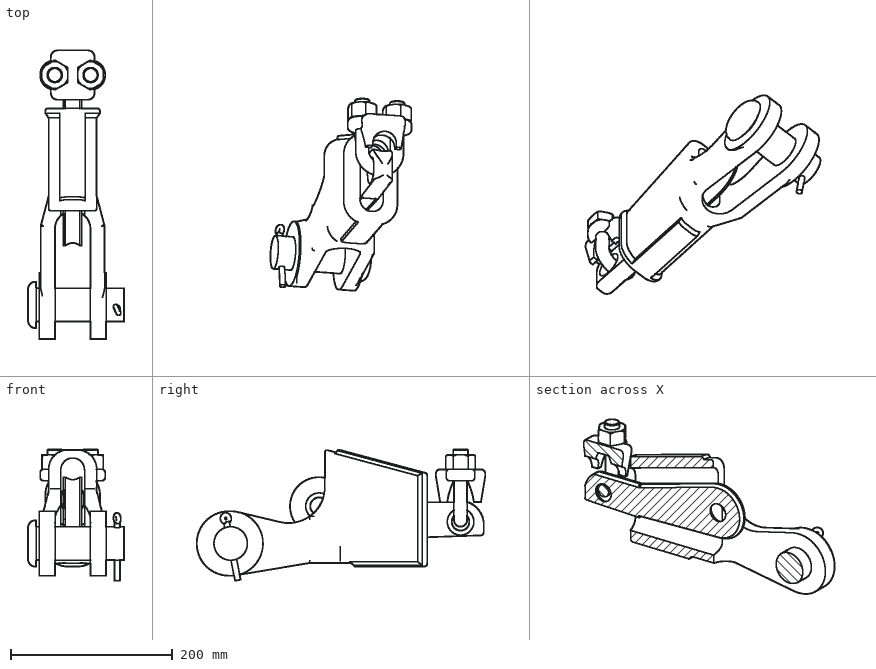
import cadquery as cq
import math


BODY_HALF_WIDTH = 29.5
BODY_CORNER = 23.0
BODY_BOTTOM = -24.3
BODY_FRONT = 116.5
BODY_REAR = 243.2
BODY_TOP_FRONT = 116.5
ROOF_SLOPE = math.tan(math.radians(15))
RAISE = 4.3
COLLAR_LENGTH = 11.8
COLLAR_ROUND = 4.0
COLLAR_FLARE = 5.7
RIB_HALF_WIDTH = 15.7
TOP_RIB_FRONT = 133.5
BOTTOM_RIB_FRONT = 153.5
EDGE_ROUND = 3.0

CAVITY_HALF_WIDTH = 14.5
CAVITY_WALL = 10.7

FORK_HALF_WIDTH = 39.5
FORK_GAP_HALF = 21.8
FORK_GAP_END = 94.3
FLARE_FRONT = 97.5
FLARE_REAR = 135.5
CONE_AXIS_Y = 94.5
THROAT_RADIUS = 44.5
THROAT_Y = BODY_FRONT - THROAT_RADIUS
THROAT_Z = 70.0
FLARE_SPLIT = THROAT_Z - math.sqrt(THROAT_RADIUS**2 - (FLARE_FRONT - THROAT_Y) ** 2)
EYE_RADIUS = 40.0
EYE_HALF_WIDTH = 41.5
EYE_STRETCH = 2.0

PIN_RADIUS = 20.7
PIN_END = 63.5
HEAD_FACE = -55.5
HEAD_BACK = -45.5
HEAD_RADIUS = 29.0
HEAD_ROUND = 9.5
NECK_ROUND = 1.5
COTTER_X = 55.0
COTTER_RADIUS = 3.5
COTTER_BOTTOM = -46.5
COTTER_TILT = 11
COTTER_RING_HEIGHT = 31.5
COTTER_RING_RADIUS = 4.3
COTTER_WIRE = 3.0
COTTER_TWIST = 25

WEDGE_HALF_WIDTH = 11.5
NOSE_Y = 109.3
NOSE_Z = 46.0
NOSE_RADIUS = 36.0
TAIL_TOP = 51.0
TAIL_START_Y = 230.0
TAIL_START_BOTTOM = 7.0
TAIL_END = 313.2
TAIL_END_BOTTOM = 10.0
TAIL_ROUND_START = 294.0
TAIL_ROUND_MIDDLE = (308.0, 40.0)
TAIL_ROUND_END = 25.0
TAIL_CORNER = 4.3
TAIL_SIDE_ROUND = 10.7
GROOVE_HALF_WIDTH = 9.0
GROOVE_DEPTH = 3.2
HOLE_THROAT = 10.7
HOLE_MOUTH = 16.5
TAIL_HOLE_Z = 26.8

CLIP_Y = 284.3
BOLT_X = 22.0
BOLT_RADIUS = 8.2
BEND_Z = 51.0
BOLT_TOP = 116.5
THREAD_RADIUS = 9.3
THREAD_CHAMFER = 1.0
NUT_CORNERS = 36.8
NUT_TOP = 109.5
NUT_CHAMFER = 1.8
SADDLE_TOP = 91.8
SADDLE_PLATE_BOTTOM = 78.5
SADDLE_HALF_X = 27.0
SADDLE_HALF_Y = 30.7
SADDLE_CORNER = 8.5
SADDLE_TOP_ROUND = 5.7
LEG_BOTTOM = 51.0
LEG_TAPER_TOP = 83.5
LEG_OUTER = 25.5
LEG_INNER = 16.5
LEG_ARCH_MIDDLE = (14.0, 63.0)
LEG_ROOT = 8.0
ROPE_ARCH_RADIUS = 15.0
ROPE_ARCH_TOP = 69.5
SEAT_RADIUS = 18.2
SEAT_BOTTOM = 77.5
SEAT_ROUND = 4.3

FAR = 214.3


def side_plane(x=0.0):
    return cq.Workplane("YZ", origin=(x, 0, 0))


def box_between(x0, x1, y0, y1, z0, z1):
    return cq.Workplane("XY").box(x1 - x0, y1 - y0, z1 - z0, False).translate((x0, y0, z0))


def on_circle(center, radius, angle):
    return (center[0] + radius * math.cos(angle), center[1] + radius * math.sin(angle))


def touch_angle(point, distance, side):
    """Normal angle of the line at which `point`, seen from the origin, has a height of `distance`."""
    return math.atan2(point[1], point[0]) + side * math.acos(distance / math.hypot(*point))


def roof(y):
    return BODY_TOP_FRONT - ROOF_SLOPE * (y - BODY_FRONT)


def tapered_block(y0, y1, half_width, bottom, drop, corner):
    """Block along Y with a sloping roof `drop` below the body roof and rounded long edges."""
    outline = [(y0, bottom), (y1, bottom), (y1, roof(y1) - drop), (y0, roof(y0) - drop)]
    block = side_plane().polyline(outline).close().extrude(half_width, both=True)
    long_edges = block.faces("<Z or >Z").edges("not |X")
    return long_edges.fillet(corner)


def raised_block(y0, y1):
    return tapered_block(
        y0, y1, BODY_HALF_WIDTH + RAISE, BODY_BOTTOM - RAISE, -RAISE, BODY_CORNER + RAISE
    )


def socket_side_prism():
    """Side outline of the socket: body, hollow throat, fork and round eye."""
    eye = (0.0, 0.0)
    throat = (THROAT_Y, THROAT_Z)
    lower_corner = (FLARE_FRONT, BODY_BOTTOM)
    upper = touch_angle(throat, EYE_RADIUS + THROAT_RADIUS, 1)
    lower = touch_angle(lower_corner, EYE_RADIUS, -1)
    return (
        side_plane()
        .moveTo(BODY_REAR, BODY_BOTTOM)
        .lineTo(*lower_corner)
        .lineTo(*on_circle(eye, EYE_RADIUS, lower))
        .threePointArc((-EYE_RADIUS, 0), on_circle(eye, EYE_RADIUS, upper))
        .lineTo(*on_circle(throat, THROAT_RADIUS, upper + math.pi))
        .threePointArc(
            on_circle(throat, THROAT_RADIUS, (upper + 3 * math.pi) / 2),
            (BODY_FRONT, throat[1]),
        )
        .lineTo(BODY_FRONT, roof(BODY_FRONT))
        .lineTo(BODY_REAR, roof(BODY_REAR))
        .close()
        .extrude(FAR, both=True)
    )


def flare_section(y, half_width, corner):
    diagonal = corner * (1 - math.sqrt(0.5))
    return (
        cq.Workplane("XZ", origin=(0, y, 0))
        .moveTo(-half_width, FLARE_SPLIT)
        .lineTo(-half_width, BODY_BOTTOM + corner)
        .threePointArc(
            (-half_width + diagonal, BODY_BOTTOM + diagonal), (-half_width + corner, BODY_BOTTOM)
        )
        .lineTo(half_width - corner, BODY_BOTTOM)
        .threePointArc(
            (half_width - diagonal, BODY_BOTTOM + diagonal), (half_width, BODY_BOTTOM + corner)
        )
        .lineTo(half_width, FLARE_SPLIT)
        .close()
        .val()
    )


def flare():
    """Widening from the body to the fork: flat sides below, a half cone on each side above."""
    slope = (FORK_HALF_WIDTH - BODY_HALF_WIDTH) / (FLARE_REAR - FLARE_FRONT)
    base_radius = FLARE_REAR - CONE_AXIS_Y
    tip = BODY_HALF_WIDTH + slope * base_radius
    lower = cq.Workplane(cq.Solid.makeLoft([
        flare_section(FLARE_REAR, BODY_HALF_WIDTH, BODY_CORNER),
        flare_section(FLARE_FRONT, FORK_HALF_WIDTH, EDGE_ROUND),
    ], True))
    cone_profile = cq.Workplane("XY").polyline(
        [(0, 0), (tip, 0), (BODY_HALF_WIDTH, base_radius), (0, base_radius)]
    ).close()
    cone = cone_profile.revolve(360, (0, 0), (1, 0)).translate((0, CONE_AXIS_Y, FLARE_SPLIT))
    above = box_between(0, FAR, FLARE_FRONT, FAR, FLARE_SPLIT, FAR)
    upper = cone.intersect(above).intersect(socket_side_prism())
    rim = upper.edges(cq.selectors.BoxSelector(
        (BODY_HALF_WIDTH - EDGE_ROUND, FLARE_FRONT, FLARE_SPLIT),
        (FORK_HALF_WIDTH, BODY_FRONT, THROAT_Z),
    ))
    upper = rim.fillet(EDGE_ROUND)
    return lower.union(upper, clean=False).union(upper.mirror("YZ"), clean=False)


def arms():
    """Fork plates up to the flare, still joined across the gap."""
    plate = box_between(-FORK_HALF_WIDTH, FORK_HALF_WIDTH, -FAR, FLARE_FRONT, -FAR, FAR)
    return (
        plate.intersect(socket_side_prism())
        .faces("<X or >X")
        .edges("not |Z")
        .fillet(EDGE_ROUND)
    )


def eye_bosses():
    return (
        side_plane()
        .center(-EYE_STRETCH / 2, 0)
        .slot2D(EYE_STRETCH + 2 * EYE_RADIUS, 2 * EYE_RADIUS)
        .extrude(EYE_HALF_WIDTH, both=True)
    )


def collar():
    start = BODY_REAR - COLLAR_LENGTH
    block = raised_block(start, BODY_REAR).faces(">Y").edges().fillet(COLLAR_ROUND)
    return block.faces("<Y").edges().chamfer(COLLAR_ROUND, COLLAR_FLARE)


def rib_strip(front, level, up):
    """Region of one rib whose front end slopes at 45 degrees, its outer edge at (front, level)."""
    reach = 2 * BODY_CORNER
    rear = BODY_REAR - COLLAR_LENGTH / 2
    outline = [
        (front - reach, level - up * reach),
        (front + reach, level + up * reach),
        (rear, level + up * reach),
        (rear, level - up * reach),
    ]
    return side_plane().polyline(outline).close().extrude(RIB_HALF_WIDTH, both=True)


def ribs():
    top = rib_strip(TOP_RIB_FRONT, roof(TOP_RIB_FRONT) + RAISE, 1)
    bottom = rib_strip(BOTTOM_RIB_FRONT, BODY_BOTTOM - RAISE, -1)
    raised = raised_block(BODY_FRONT + RAISE, BODY_REAR)
    return raised.intersect(top).union(raised.intersect(bottom))


def cavity_section(y):
    radius = CAVITY_HALF_WIDTH
    floor = BODY_BOTTOM + CAVITY_WALL
    ceiling = roof(y) - CAVITY_WALL
    return (
        cq.Workplane("XZ", origin=(0, y, 0))
        .moveTo(-radius, floor + radius)
        .threePointArc((0, floor), (radius, floor + radius))
        .lineTo(radius, ceiling - radius)
        .threePointArc((0, ceiling), (-radius, ceiling - radius))
        .close()
        .val()
    )


def cavity():
    return cq.Workplane(cq.Solid.makeLoft(
        [cavity_section(FORK_GAP_END), cavity_section(BODY_REAR + RAISE)], True
    ))


def fork_gap():
    slot = box_between(-FORK_GAP_HALF, FORK_GAP_HALF, -FAR, FORK_GAP_END, -FAR, FAR)
    end = (
        cq.Workplane("XY", origin=(0, FORK_GAP_END, -FAR))
        .circle(FORK_GAP_HALF)
        .extrude(2 * FAR)
    )
    return slot.union(end)


def main_body():
    block = tapered_block(BODY_FRONT, BODY_REAR, BODY_HALF_WIDTH, BODY_BOTTOM, 0, BODY_CORNER)
    return block.faces("<Y").edges().fillet(EDGE_ROUND)


def make_socket():
    socket = main_body().union(flare(), clean=False).union(arms(), clean=False)
    for addition in (collar(), ribs(), eye_bosses()):
        socket = socket.union(addition, clean=False)
    pin_hole = side_plane().circle(PIN_RADIUS).extrude(FAR, both=True)
    for opening in (cavity(), fork_gap(), pin_hole):
        socket = socket.cut(opening, clean=False)
    return socket


def make_pin():
    arc_middle = HEAD_ROUND * math.sqrt(0.5)
    neck_middle = NECK_ROUND * (1 - math.sqrt(0.5))
    profile = (
        cq.Workplane("XY")
        .moveTo(HEAD_FACE, 0)
        .lineTo(HEAD_FACE, HEAD_RADIUS - HEAD_ROUND)
        .threePointArc(
            (HEAD_FACE + HEAD_ROUND - arc_middle, HEAD_RADIUS - HEAD_ROUND + arc_middle),
            (HEAD_FACE + HEAD_ROUND, HEAD_RADIUS),
        )
        .lineTo(HEAD_BACK, HEAD_RADIUS)
        .lineTo(HEAD_BACK, PIN_RADIUS + NECK_ROUND)
        .threePointArc(
            (HEAD_BACK + neck_middle, PIN_RADIUS + neck_middle),
            (HEAD_BACK + NECK_ROUND, PIN_RADIUS),
        )
        .lineTo(PIN_END, PIN_RADIUS)
        .lineTo(PIN_END, 0)
        .close()
    )
    return profile.revolve(360, (0, 0), (1, 0)).union(cotter())


def cotter():
    leg = (
        cq.Workplane("XY", origin=(0, 0, COTTER_BOTTOM))
        .circle(COTTER_RADIUS)
        .extrude(COTTER_RING_HEIGHT - COTTER_RING_RADIUS - COTTER_BOTTOM)
    )
    ring = (
        cq.Workplane("YX")
        .center(COTTER_RING_RADIUS, 0)
        .circle(COTTER_WIRE)
        .revolve(360, (-COTTER_RING_RADIUS, 0), (-COTTER_RING_RADIUS, 1))
        .rotate((0, 0, 0), (0, 0, 1), COTTER_TWIST)
        .translate((0, 0, COTTER_RING_HEIGHT))
    )
    return leg.union(ring).rotate((0, 0, 0), (1, 0, 0), COTTER_TILT).translate((COTTER_X, 0, 0))


def wedge_hole(y, z):
    """Hole along X whose wall curves out from a throat to a wider mouth on both sides."""
    profile = (
        cq.Workplane("XY")
        .moveTo(-WEDGE_HALF_WIDTH, 0)
        .lineTo(-WEDGE_HALF_WIDTH, HOLE_MOUTH)
        .threePointArc((0, HOLE_THROAT), (WEDGE_HALF_WIDTH, HOLE_MOUTH))
        .lineTo(WEDGE_HALF_WIDTH, 0)
        .close()
    )
    return profile.revolve(360, (0, 0), (1, 0)).translate((0, y, z))


NOSE = (NOSE_Y, NOSE_Z)
TAIL_START = (TAIL_START_Y, TAIL_START_BOTTOM)
NOSE_TOP_ANGLE = math.pi / 2 - math.atan(ROOF_SLOPE)
NOSE_BOTTOM_ANGLE = touch_angle((TAIL_START_Y - NOSE_Y, TAIL_START_BOTTOM - NOSE_Z), NOSE_RADIUS, -1)
NOSE_TOP = on_circle(NOSE, NOSE_RADIUS, NOSE_TOP_ANGLE)
TAIL_KNEE = (NOSE_TOP[0] + (NOSE_TOP[1] - TAIL_TOP) / ROOF_SLOPE, TAIL_TOP)


def wedge_blank():
    blank = (
        side_plane()
        .moveTo(*on_circle(NOSE, NOSE_RADIUS, NOSE_BOTTOM_ANGLE))
        .threePointArc((NOSE_Y - NOSE_RADIUS, NOSE_Z), NOSE_TOP)
        .lineTo(*TAIL_KNEE)
        .lineTo(TAIL_ROUND_START, TAIL_TOP)
        .threePointArc(TAIL_ROUND_MIDDLE, (TAIL_END, TAIL_ROUND_END))
        .lineTo(TAIL_END, TAIL_END_BOTTOM)
        .lineTo(*TAIL_START)
        .close()
        .extrude(WEDGE_HALF_WIDTH, both=True)
    )
    blank = blank.faces(">Y").edges("<Z").fillet(TAIL_CORNER)
    rounded_end = box_between(-WEDGE_HALF_WIDTH, WEDGE_HALF_WIDTH, -FAR, TAIL_END, -FAR, FAR)
    return blank.intersect(rounded_end.faces(">Y").edges("|Z").fillet(TAIL_SIDE_ROUND))


def rope_grooves():
    """Round grooves along the bottom, the nose, the sloping top and the top of the tail."""
    radius = (GROOVE_HALF_WIDTH**2 + GROOVE_DEPTH**2) / (2 * GROOVE_DEPTH)
    lift = radius - GROOVE_DEPTH
    start = on_circle(TAIL_START, lift, NOSE_BOTTOM_ANGLE)
    nose_bottom = on_circle(NOSE, NOSE_RADIUS + lift, NOSE_BOTTOM_ANGLE)
    path = (
        side_plane()
        .moveTo(*start)
        .lineTo(*nose_bottom)
        .threePointArc(
            (NOSE_Y - NOSE_RADIUS - lift, NOSE_Z),
            on_circle(NOSE, NOSE_RADIUS + lift, NOSE_TOP_ANGLE),
        )
        .lineTo(*on_circle(TAIL_KNEE, lift, NOSE_TOP_ANGLE))
    )
    across = cq.Plane(
        origin=(0, *start),
        xDir=(1, 0, 0),
        normal=(0, nose_bottom[0] - start[0], nose_bottom[1] - start[1]),
    )
    groove = cq.Workplane(across).circle(radius).sweep(path)
    tail_groove = (
        cq.Workplane("XZ", origin=(0, TAIL_KNEE[0], 0))
        .center(0, TAIL_TOP + lift)
        .circle(radius)
        .extrude(-FAR)
    )
    return groove, tail_groove


def make_wedge():
    wedge = wedge_blank()
    for groove in rope_grooves():
        wedge = wedge.cut(groove)
    return wedge.cut(wedge_hole(*NOSE)).cut(wedge_hole(CLIP_Y, TAIL_HOLE_Z))


def nut(seat):
    """Hexagon nut on the workplane `seat`, corners along Y, with a round chamfer on top."""
    height = NUT_TOP - SADDLE_TOP
    hexagon = seat.transformed(rotate=(0, 0, 90)).polygon(6, NUT_CORNERS).extrude(height)
    disc = seat.circle(NUT_CORNERS / 2).extrude(height).faces(">Z").chamfer(NUT_CHAMFER)
    return hexagon.intersect(disc)


def u_bolt():
    bolt = (
        cq.Workplane("XY", origin=(BOLT_X, 0, BEND_Z))
        .circle(BOLT_RADIUS)
        .revolve(180, (-BOLT_X, 0), (-BOLT_X, 1))
    )
    for side in (-1, 1):
        base = cq.Workplane("XY", origin=(side * BOLT_X, 0, BEND_Z))
        above_saddle = base.workplane(offset=SADDLE_TOP - BEND_Z)
        leg = base.circle(BOLT_RADIUS).extrude(SADDLE_TOP - BEND_Z)
        thread = above_saddle.circle(THREAD_RADIUS).extrude(BOLT_TOP - SADDLE_TOP)
        thread = thread.faces(">Z").chamfer(THREAD_CHAMFER)
        bolt = bolt.union(leg).union(thread).union(nut(above_saddle))
    return bolt


def saddle():
    outline = cq.Sketch().rect(2 * SADDLE_HALF_X, 2 * SADDLE_HALF_Y).vertices().fillet(SADDLE_CORNER)
    taper = math.degrees(math.atan((SADDLE_HALF_Y - LEG_OUTER) / (LEG_TAPER_TOP - LEG_BOTTOM)))
    base = cq.Workplane("XY", origin=(0, 0, LEG_TAPER_TOP)).placeSketch(outline)
    top = base.extrude(SADDLE_TOP - LEG_TAPER_TOP).faces(">Z").edges().fillet(SADDLE_TOP_ROUND)
    legs = base.extrude(LEG_BOTTOM - LEG_TAPER_TOP, taper=taper)
    leg_gap = (
        side_plane()
        .moveTo(-LEG_INNER, LEG_BOTTOM)
        .threePointArc((-LEG_ARCH_MIDDLE[0], LEG_ARCH_MIDDLE[1]), (-LEG_ROOT, SADDLE_PLATE_BOTTOM))
        .lineTo(LEG_ROOT, SADDLE_PLATE_BOTTOM)
        .threePointArc(LEG_ARCH_MIDDLE, (LEG_INNER, LEG_BOTTOM))
        .close()
        .extrude(FAR, both=True)
    )
    arch_center = ROPE_ARCH_TOP - ROPE_ARCH_RADIUS
    arch = (
        cq.Workplane("XZ", origin=(0, 0, arch_center))
        .circle(ROPE_ARCH_RADIUS)
        .extrude(FAR, both=True)
        .union(box_between(-ROPE_ARCH_RADIUS, ROPE_ARCH_RADIUS, -FAR, FAR, 0, arch_center))
    )
    saddle_body = top.union(legs).cut(leg_gap).cut(arch)
    for side in (-1, 1):
        seat = (
            cq.Workplane("XY", origin=(side * BOLT_X, 0, SEAT_BOTTOM))
            .circle(SEAT_RADIUS)
            .extrude(SADDLE_TOP - SEAT_BOTTOM)
            .edges().fillet(SEAT_ROUND)
        )
        saddle_body = saddle_body.union(seat)
    return saddle_body


def make_clip():
    return saddle().union(u_bolt()).translate((0, CLIP_Y, 0))


socket = make_socket()
pin = make_pin()
wedge = make_wedge()
clip = make_clip()
result = cq.Compound.makeCompound([body.solids().val() for body in (socket, pin, wedge, clip)])